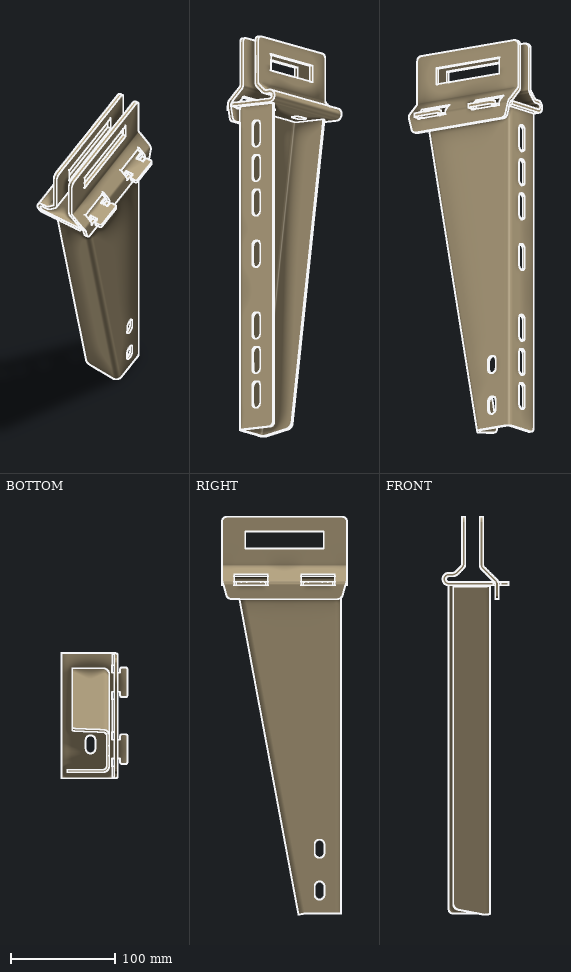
import cadquery as cq
import math


overall_height = 381.5
clamp_width = 120.0
clamp_top = 66.0
clamp_sheet = 3.5
plate_bend_radius = 2.3
lower_bend_radius = 3.0
corner_radius = 5.0
hook_plate_x = -11.5
hook_bend_height = 18.5
back_plate_x = 5.7
back_bend_height = 18.0

handle_length = 74.7
handle_height = 16.0
handle_center = 43.5

curl_left = -31.5
curl_radius = 6.0
base_end = 16.8
tab_end = 31.5
tab_neck_width = 18.3
tab_head_width = 28.5
tab_head_length = 7.2
tab_head_radius = 2.0
tab_offset = 32.0
base_slot_x = -4.0
base_slot_offset = 27.5

leg_x = 20.5
leg_bottom = -13.0
leg_taper_top = 6.0
leg_taper_inset = 5.5
leg_corner_radius = 5.0
window_width = 32.5
window_top = 10.5

bracket_sheet = 2.5
bracket_inside_radius = 3.5
bracket_bend = bracket_inside_radius + bracket_sheet
web_back = 14.0
upright_face = 54.0
upright_width = 40.0
slope_width = 35.5
slope_rise = 5.7
slope_angle = math.radians(10.6)
slope_top_y = -39.5
bracket_height = overall_height - clamp_top - bracket_bend * math.sin(slope_angle)
slope_bottom_y = slope_top_y + bracket_height * math.tan(slope_angle)
upright_corner_radius = 4.5
slope_corner_radius = 6.0

slot_width = 9.0
slot_length = 17.0
web_slot_y = 33.5
web_slot_heights = (-252.0, -292.0)
flange_slot_length = 26.0
flange_slot_reach = 21.0
flange_slot_heights = (-28.0, -61.5, -95.0, -145.0, -214.7, -248.3, -282.0)


def bent_sheet(leg_end, lower_bend, plate_bend, plate_end):
    """Sheet across the clamp width whose mid-thickness runs through four XZ points, bent at two."""
    leg_end, lower_bend, plate_bend, plate_end = (
        cq.Vector(*point) for point in (leg_end, lower_bend, plate_bend, plate_end)
    )
    path = cq.Workplane("XZ").moveTo(leg_end.x, leg_end.y)
    for before, corner, after, inside_radius in (
        (leg_end, lower_bend, plate_bend, lower_bend_radius),
        (lower_bend, plate_bend, plate_end, plate_bend_radius),
    ):
        mid_radius = inside_radius + clamp_sheet / 2
        to_before = (before - corner).normalized()
        to_after = (after - corner).normalized()
        half_angle = to_before.getAngle(to_after) / 2
        tangent_length = mid_radius / math.tan(half_angle)
        arc_depth = mid_radius / math.sin(half_angle) - mid_radius
        arc_start = corner + to_before * tangent_length
        arc_middle = corner + (to_before + to_after).normalized() * arc_depth
        arc_end = corner + to_after * tangent_length
        path = path.lineTo(arc_start.x, arc_start.y)
        path = path.threePointArc((arc_middle.x, arc_middle.y), (arc_end.x, arc_end.y))
    path = path.lineTo(plate_end.x, plate_end.y)

    leg_direction = lower_bend - leg_end
    section_plane = cq.Plane(
        origin=(leg_end.x, 0, leg_end.y),
        xDir=(0, 1, 0),
        normal=(leg_direction.x, 0, leg_direction.y),
    )
    return cq.Workplane(section_plane).rect(clamp_width, clamp_sheet).sweep(path)


def finish_plate(sheet, plate_x):
    """Round the upper corners of an upright plate and cut its handle opening."""
    opening = cq.Workplane("XY").box(2 * clamp_sheet, handle_length, handle_height)
    opening = opening.translate((plate_x, 0, handle_center))
    return sheet.faces(">Z").edges("|X").fillet(corner_radius).cut(opening)


def make_hook_sheet():
    curl_x = curl_left + curl_radius
    lip_z = 2 * curl_radius - clamp_sheet / 2
    slant_x = hook_plate_x - (hook_bend_height - lip_z)
    upper = bent_sheet(
        (curl_x, lip_z),
        (slant_x, lip_z),
        (hook_plate_x, hook_bend_height),
        (hook_plate_x, clamp_top),
    )
    upper = finish_plate(upper, hook_plate_x)

    inner_radius = curl_radius - clamp_sheet
    lower = (
        cq.Workplane("XZ")
        .moveTo(base_end, 0)
        .lineTo(curl_x, 0)
        .threePointArc((curl_left, curl_radius), (curl_x, 2 * curl_radius))
        .lineTo(curl_x, curl_radius + inner_radius)
        .threePointArc((curl_x - inner_radius, curl_radius), (curl_x, clamp_sheet))
        .lineTo(base_end, clamp_sheet)
        .close()
        .extrude(clamp_width / 2, both=True)
    )
    sheet = upper.union(lower)

    head_x = tab_end - tab_head_length / 2
    for tab_y in (-tab_offset, tab_offset):
        neck = (
            cq.Workplane("XY")
            .center((base_end + head_x) / 2, tab_y)
            .rect(head_x - base_end, tab_neck_width)
            .extrude(clamp_sheet)
        )
        head = (
            cq.Workplane("XY")
            .center(head_x, tab_y)
            .rect(tab_head_length, tab_head_width)
            .extrude(clamp_sheet)
            .edges("|Z")
            .fillet(tab_head_radius)
        )
        sheet = sheet.union(neck).union(head)

    slots = (
        cq.Workplane("XY")
        .pushPoints([(base_slot_x, -base_slot_offset), (base_slot_x, base_slot_offset)])
        .slot2D(slot_length, slot_width, 90)
        .extrude(clamp_sheet)
    )
    return sheet.cut(slots)


def make_back_sheet():
    slant_end_z = back_bend_height - (leg_x - back_plate_x)
    sheet = bent_sheet(
        (leg_x, leg_bottom),
        (leg_x, slant_end_z),
        (back_plate_x, back_bend_height),
        (back_plate_x, clamp_top),
    )
    sheet = finish_plate(sheet, back_plate_x)

    half_width = clamp_width / 2
    for side in (-1, 1):
        taper = (
            cq.Workplane("YZ")
            .moveTo(side * half_width, leg_taper_top)
            .lineTo(side * (half_width - leg_taper_inset), leg_bottom)
            .lineTo(side * half_width, leg_bottom)
            .close()
            .extrude(tab_end)
        )
        sheet = sheet.cut(taper)
    sheet = sheet.faces("<Z").edges("|X").fillet(leg_corner_radius)

    windows = (
        cq.Workplane("YZ")
        .pushPoints([(-tab_offset, window_top / 2), (tab_offset, window_top / 2)])
        .rect(window_width, window_top)
        .extrude(tab_end)
    )
    return sheet.cut(windows)


def make_flange(bend_line_bottom, bend_line_top, width, free_corner_radius, side, rise=0.0):
    """Flange and its bend along one edge of the web.

    Local x runs from the web's back to the free edge, local z along the bend line.
    side is +1 for a flange on the -Y edge of the web and -1 on the +Y edge.
    """
    start = cq.Vector(web_back, *bend_line_bottom)
    along = cq.Vector(web_back, *bend_line_top) - start
    length = along.Length
    diagonal = math.sqrt(0.5)

    bend = (
        cq.Workplane("XY")
        .lineTo(bracket_sheet, 0)
        .threePointArc(
            (bracket_bend - bracket_inside_radius * diagonal, side * bracket_inside_radius * diagonal),
            (bracket_bend, side * bracket_inside_radius),
        )
        .lineTo(bracket_bend, side * bracket_bend)
        .threePointArc((bracket_bend * (1 - diagonal), side * bracket_bend * diagonal), (0, 0))
        .close()
        .extrude(length)
    )
    flat = (
        cq.Workplane("XZ", origin=(0, side * bracket_inside_radius, 0))
        .moveTo(bracket_bend, 0)
        .lineTo(width, rise)
        .lineTo(width, length)
        .lineTo(bracket_bend, length)
        .close()
        .extrude(-side * bracket_sheet)
        .faces(">X").edges("|Y").edges("<Z")
        .fillet(free_corner_radius)
    )
    frame = cq.Plane(origin=start, xDir=(-1, 0, 0), normal=along)
    return bend.union(flat).val().moved(frame.location)


def make_bracket():
    upright_y = upright_face - bracket_bend
    web = (
        cq.Workplane("YZ", origin=(web_back, 0, 0))
        .moveTo(slope_top_y, 0)
        .lineTo(upright_y, 0)
        .lineTo(upright_y, -bracket_height)
        .lineTo(slope_bottom_y, -bracket_height)
        .close()
        .extrude(-bracket_sheet)
    )
    upright = make_flange(
        (upright_y, -bracket_height), (upright_y, 0), upright_width, upright_corner_radius, side=-1
    )
    slope = make_flange(
        (slope_bottom_y, -bracket_height),
        (slope_top_y, 0),
        slope_width,
        slope_corner_radius,
        side=1,
        rise=slope_rise,
    )
    web_slots = (
        cq.Workplane("YZ", origin=(web_back, 0, 0))
        .pushPoints([(web_slot_y, height) for height in web_slot_heights])
        .slot2D(slot_length, slot_width, 90)
        .extrude(-bracket_sheet)
    )
    flange_slots = (
        cq.Workplane("XZ", origin=(0, upright_face, 0))
        .pushPoints([(web_back - flange_slot_reach, height) for height in flange_slot_heights])
        .slot2D(flange_slot_length, slot_width, 90)
        .extrude(bracket_sheet)
    )
    return web.union(upright).union(slope).cut(web_slots).cut(flange_slots)


hook_sheet = make_hook_sheet()
back_sheet = make_back_sheet()
bracket = make_bracket()

result = cq.Compound.makeCompound([body.solids().val() for body in (hook_sheet, back_sheet, bracket)])